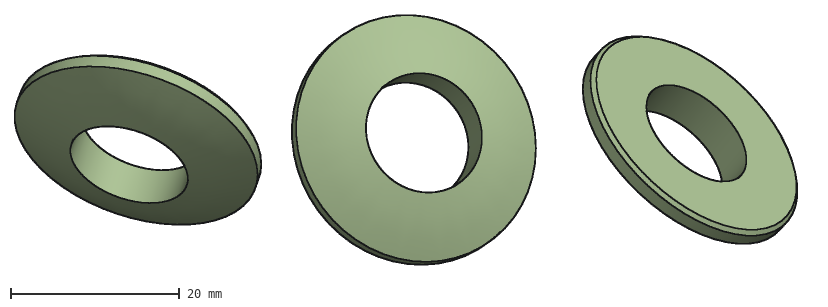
import cadquery as cq
import math

outer_diameter = 30.0
hole_diameter = 14.5
thickness = 5.0
back_chamfer = 0.5
dome_radius = 32.0

outer_radius = outer_diameter / 2
hole_radius = hole_diameter / 2
mid_radius = (outer_radius + hole_radius) / 2

dome_centre_y = -thickness + math.sqrt(dome_radius**2 - hole_radius**2)


def dome_y(radius):
    """Y of the dome surface at a given distance from the axis."""
    return dome_centre_y - math.sqrt(dome_radius**2 - radius**2)


def washer_profile():
    """Half section in the XY plane: back face at Y = 0, dome toward -Y."""
    return (
        cq.Workplane("XY")
        .moveTo(hole_radius, 0)
        .lineTo(outer_radius - back_chamfer, 0)
        .lineTo(outer_radius, -back_chamfer)
        .lineTo(outer_radius, dome_y(outer_radius))
        .threePointArc((mid_radius, dome_y(mid_radius)), (hole_radius, -thickness))
        .close()
    )


result = washer_profile().revolve(360, (0, 0, 0), (0, 1, 0))